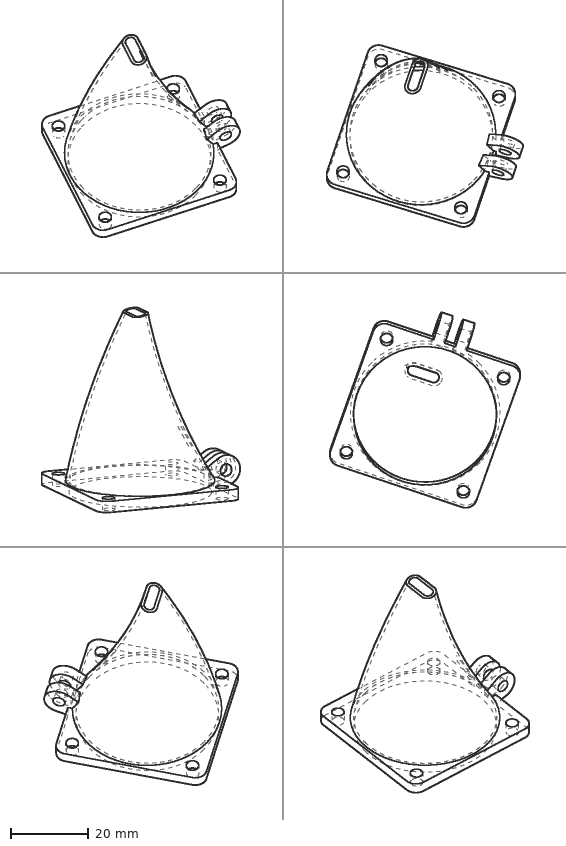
import cadquery as cq
import math

plate_side = 40.0
plate_thickness = 3.0
corner_radius = 3.0
screw_hole_diameter = 3.2
screw_hole_offset = plate_side / 2 - 4.0

base_radius = 19.3
tip_half_width = 5.0
wall = 0.8
section_count = 6
shortest_half_flat = 0.05

front_curve = ((-base_radius, plate_thickness), (-14.6, 25.05), (-3.35, 47.1))
back_curve = ((base_radius, plate_thickness), (5.3, 25.5), (0.8, 48.0))

lug_radius = 4.0
lug_hole_diameter = 3.15
lug_thickness = 3.05
lug_gap = 2.9
lug_center = (plate_side / 2 + 2.35, 4.6)
lug_top_root = (16.3, 5.3)
lug_bottom_root = (20.3, 0.0)


def parabola_point(curve, t):
    """Point of a quadratic Bezier curve at parameter t."""
    weights = ((1 - t) ** 2, 2 * t * (1 - t), t**2)
    y = sum(weight * point[0] for weight, point in zip(weights, curve))
    z = sum(weight * point[1] for weight, point in zip(weights, curve))
    return y, z


def nozzle_section(t, inset):
    """Stadium wire spanning the front and back curves, shrunk by inset."""
    front_y, front_z = parabola_point(front_curve, t)
    back_y, back_z = parabola_point(back_curve, t)
    depth_y = back_y - front_y
    depth_z = back_z - front_z
    half_depth = math.hypot(depth_y, depth_z) / 2
    half_width = base_radius + t * (tip_half_width - base_radius)
    half_flat = max(half_width - half_depth, shortest_half_flat)
    radius = half_depth - inset
    plane = cq.Plane(
        origin=(0, (front_y + back_y) / 2, (front_z + back_z) / 2),
        xDir=(1, 0, 0),
        normal=(0, -depth_z, depth_y),
    )
    outline = (
        cq.Workplane(plane)
        .moveTo(-half_flat, -radius)
        .lineTo(half_flat, -radius)
        .threePointArc((half_flat + radius, 0), (half_flat, radius))
        .lineTo(-half_flat, radius)
        .threePointArc((-half_flat - radius, 0), (-half_flat, -radius))
        .close()
    )
    return outline.val()


def nozzle_solid(inset):
    last = section_count - 1
    sections = [nozzle_section(i / last, inset) for i in range(section_count)]
    return cq.Workplane(cq.Solid.makeLoft(sections))


def tangent_point(point, side):
    """Where a line from point touches the lug's round end; side is +1 or -1."""
    dy = point[0] - lug_center[0]
    dz = point[1] - lug_center[1]
    angle = math.atan2(dz, dy) + side * math.acos(lug_radius / math.hypot(dy, dz))
    return (
        lug_center[0] + lug_radius * math.cos(angle),
        lug_center[1] + lug_radius * math.sin(angle),
    )


def lug(start_x):
    profile = cq.Workplane("YZ", origin=(start_x, 0, 0))
    lug_tip = (lug_center[0] + lug_radius, lug_center[1])
    body = (
        profile.moveTo(*lug_top_root)
        .lineTo(*tangent_point(lug_top_root, -1))
        .threePointArc(lug_tip, tangent_point(lug_bottom_root, 1))
        .lineTo(*lug_bottom_root)
        .lineTo(lug_top_root[0], 0)
        .close()
        .extrude(lug_thickness)
    )
    hole = profile.center(*lug_center).circle(lug_hole_diameter / 2).extrude(lug_thickness)
    return body.cut(hole)


plate = (
    cq.Workplane("XY")
    .rect(plate_side, plate_side)
    .extrude(plate_thickness)
    .edges("|Z")
    .fillet(corner_radius)
)
screw_holes = (
    cq.Workplane("XY")
    .rect(2 * screw_hole_offset, 2 * screw_hole_offset, forConstruction=True)
    .vertices()
    .circle(screw_hole_diameter / 2)
    .extrude(plate_thickness)
)

result = plate.cut(screw_holes).union(nozzle_solid(0))
for start_x in (-lug_gap / 2 - lug_thickness, lug_gap / 2):
    result = result.union(lug(start_x))

plate_bore = cq.Workplane("XY").circle(base_radius - wall).extrude(plate_thickness)
result = result.cut(nozzle_solid(wall)).cut(plate_bore)